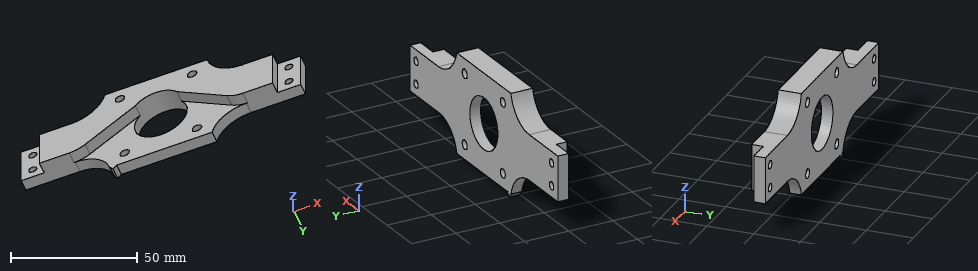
import cadquery as cq
import math

length = 120.0
thickness = 10.0
thin = thickness / 2
arm_height = 20.0
plate_height = 44.0
overall_height = 45.8
corner_radius = 15.0
tab_length = 10.0
bore_diameter = 22.5
mount_pitch = 31.0
mount_diameter = 4.0
tab_hole_inset = 5.0
tab_hole_pitch = 10.0
tab_hole_diameter = 3.4
arc_center_x = 36.7
step_angle = 34.6
step_apex_z = 13.1
step_top_z = 7.8
step_radius = 12.0

half_length = length / 2
half_arm = arm_height / 2
half_plate = plate_height / 2

tooth_tip_x = -20.5
tooth_tip_z = half_plate - overall_height
tooth_right_x = -19.0
tooth_root_height = 0.5


def arc_x(z):
    """Half width of the plate on the concave arcs at height z."""
    rise = half_arm + corner_radius - abs(z)
    return arc_center_x - math.sqrt(corner_radius**2 - rise**2)


def make_body():
    """Two arms and a wide plate joined by four concave arcs."""
    body = cq.Workplane("XZ").rect(length, arm_height).extrude(thickness)
    plate = cq.Workplane("XZ").rect(2 * arc_center_x, plate_height).extrude(thickness)
    arc_center_z = half_arm + corner_radius
    corners = [(x, z) for x in (-arc_center_x, arc_center_x) for z in (-arc_center_z, arc_center_z)]
    rounds = cq.Workplane("XZ").pushPoints(corners).circle(corner_radius).extrude(thickness)
    return body.union(plate.cut(rounds))


def make_tooth():
    """Pointed tooth, as thick as the thin lower part of the plate."""
    root_z = -half_plate + tooth_root_height
    return (
        cq.Workplane("XZ")
        .moveTo(-arc_x(root_z), root_z)
        .lineTo(tooth_tip_x, tooth_tip_z)
        .lineTo(tooth_right_x, -half_plate)
        .lineTo(tooth_right_x, root_z)
        .close()
        .extrude(thin)
    )


def make_lower_recess():
    """Front material removed below the sloping step edges."""
    angle = math.radians(step_angle)
    corner_x = (step_apex_z + half_arm) / math.tan(angle)
    top_x = (step_apex_z - step_top_z) / math.tan(angle)
    tangent = step_radius * math.tan(angle / 2)
    flat_end_x = corner_x + tangent
    slope_start_x = corner_x - tangent * math.cos(angle)
    slope_start_z = -half_arm + tangent * math.sin(angle)
    arc_mid_x = flat_end_x - step_radius * math.sin(angle / 2)
    arc_mid_z = -half_arm + step_radius * (1 - math.cos(angle / 2))
    return (
        cq.Workplane("XZ", origin=(0, -thin, 0))
        .moveTo(-half_length, -overall_height)
        .lineTo(-half_length, -half_arm)
        .lineTo(-flat_end_x, -half_arm)
        .threePointArc((-arc_mid_x, arc_mid_z), (-slope_start_x, slope_start_z))
        .lineTo(-top_x, step_top_z)
        .lineTo(top_x, step_top_z)
        .lineTo(slope_start_x, slope_start_z)
        .threePointArc((arc_mid_x, arc_mid_z), (flat_end_x, -half_arm))
        .lineTo(half_length, -half_arm)
        .lineTo(half_length, -overall_height)
        .close()
        .extrude(thin)
    )


def make_tab_recesses():
    """Front material removed at both ends to leave the thin tabs."""
    centers = [(side * (half_length - tab_length / 2), 0) for side in (-1, 1)]
    front = cq.Workplane("XZ", origin=(0, -thin, 0))
    return front.pushPoints(centers).rect(tab_length, arm_height).extrude(thin)


def make_holes():
    """Central bore, four plate holes and two holes in each tab, all through."""
    tab_hole_pitch_x = length - 2 * tab_hole_inset
    bore = cq.Workplane("XZ").circle(bore_diameter / 2).extrude(thickness)
    mounts = (
        cq.Workplane("XZ")
        .rarray(mount_pitch, mount_pitch, 2, 2)
        .circle(mount_diameter / 2)
        .extrude(thickness)
    )
    tab_holes = (
        cq.Workplane("XZ")
        .rarray(tab_hole_pitch_x, tab_hole_pitch, 2, 2)
        .circle(tab_hole_diameter / 2)
        .extrude(thickness)
    )
    return bore.union(mounts).union(tab_holes)


result = (
    make_body()
    .union(make_tooth())
    .cut(make_lower_recess())
    .cut(make_tab_recesses())
    .cut(make_holes())
)